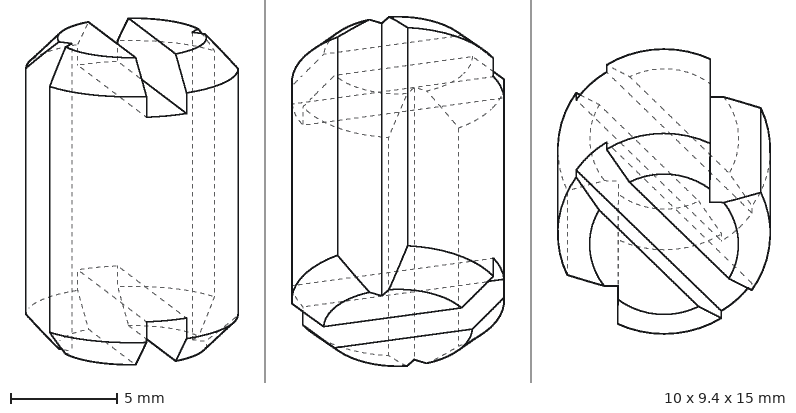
import cadquery as cq

length = 15.0
diameter = 10.0
chamfer = 1.5
slot_width = 2.0
slot_depth = 2.5
groove_root = 3.0

radius = diameter / 2
cut_clearance = 0.15
groove_reach = radius - groove_root + cut_clearance


def chamfered_cylinder():
    """Upright cylinder with 45 degree chamfers on both ends."""
    return cq.Workplane("XY").circle(radius).extrude(length).faces("<Z or >Z").edges().chamfer(chamfer)


def screwdriver_slot(base_height):
    """Slot along X, one slot depth tall, with its base at the given height."""
    return (
        cq.Workplane("XY", origin=(0, 0, base_height))
        .rect(diameter + 2 * cut_clearance, slot_width)
        .extrude(slot_depth)
    )


def v_groove(side):
    """Full-length 90 degree V groove on the +Y (side=1) or -Y (side=-1) flank."""
    outer_y = side * (groove_root + groove_reach)
    return (
        cq.Workplane("XY")
        .moveTo(0, side * groove_root)
        .lineTo(groove_reach, outer_y)
        .lineTo(-groove_reach, outer_y)
        .close()
        .extrude(length)
    )


result = chamfered_cylinder()
for slot_base in (0, length - slot_depth):
    result = result.cut(screwdriver_slot(slot_base))
for flank in (-1, 1):
    result = result.cut(v_groove(flank))